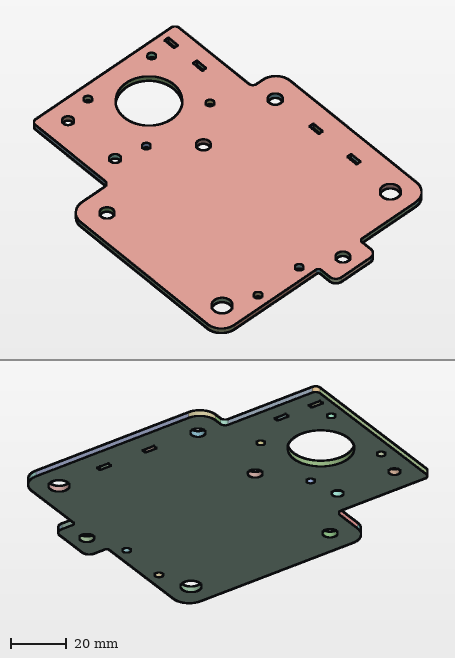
import cadquery as cq

length = 131.0
width = 102.0
thickness = 2.5

panel_left = 41.0
panel_right = 122.1
panel_corner_radius = 7.0

axis_y = 7.0

wing_top = 39.0
wing_bottom = -31.0
wing_corner_radius = 2.0

tab_width = 20.0
tab_corner_radius = 3.0
tab_root_radius = 1.0

motor_x = 21.0
motor_bore_diameter = 24.0
motor_hole_pitch = 31.0
motor_hole_diameter = 3.1

mount_y = 41.0
left_mount_x = 51.0
left_mount_diameter = 5.5
right_mount_x = 112.1
right_mount_diameter = 7.6
axis_hole_xs = (49.9, 124.0)
axis_hole_diameter = 5.4
wing_hole_xs = (8.4, 33.4)
wing_hole_y = -21.0
wing_hole_diameter = 4.3
edge_hole_x = 117.1
edge_hole_ys = (-8.0, -28.0)
edge_hole_diameter = 3.1

slot_length = 5.0
slot_width = 1.8
wing_slot_xs = (5.5, 20.6)
wing_slot_y = 32.0
panel_slot_xs = (71.5, 91.6)
panel_slot_y = 42.0


def block(x_min, x_max, y_min, y_max):
    """Rectangular slab standing on Z = 0."""
    return (
        cq.Workplane("XY")
        .box(x_max - x_min, y_max - y_min, thickness, centered=False)
        .translate((x_min, y_min, 0))
    )


def round_vertical_edges(body, x, ys, radius):
    """Round the vertical edges standing at the given X and Y places."""
    for y in ys:
        nearest = cq.selectors.NearestToPointSelector((x, y, thickness / 2))
        body = body.edges("|Z").edges(nearest).fillet(radius)
    return body


def cut_holes(body, points, diameter):
    """Cut round holes through the plate."""
    tools = cq.Workplane("XY").pushPoints(points).circle(diameter / 2).extrude(thickness)
    return body.cut(tools)


def cut_slots(body, xs, y):
    """Cut a row of rectangular slots through the plate."""
    points = [(x, y) for x in xs]
    tools = cq.Workplane("XY").pushPoints(points).rect(slot_length, slot_width).extrude(thickness)
    return body.cut(tools)


panel_ys = (-width / 2, width / 2)
wing_ys = (wing_bottom, wing_top)
tab_ys = (axis_y - tab_width / 2, axis_y + tab_width / 2)

plate = block(panel_left, panel_right, *panel_ys)
plate = plate.union(block(0, panel_left, *wing_ys))
plate = plate.union(block(panel_right, length, *tab_ys))

plate = round_vertical_edges(plate, panel_left, panel_ys, panel_corner_radius)
plate = round_vertical_edges(plate, panel_right, panel_ys, panel_corner_radius)
plate = round_vertical_edges(plate, 0, wing_ys, wing_corner_radius)
plate = round_vertical_edges(plate, panel_left, wing_ys, wing_corner_radius)
plate = round_vertical_edges(plate, length, tab_ys, tab_corner_radius)
plate = round_vertical_edges(plate, panel_right, tab_ys, tab_root_radius)

half_pitch = motor_hole_pitch / 2
motor_holes = [
    (motor_x + side_x * half_pitch, axis_y + side_y * half_pitch)
    for side_x in (-1, 1)
    for side_y in (-1, 1)
]
plate = cut_holes(plate, [(motor_x, axis_y)], motor_bore_diameter)
plate = cut_holes(plate, motor_holes, motor_hole_diameter)

plate = cut_holes(plate, [(left_mount_x, y) for y in (-mount_y, mount_y)], left_mount_diameter)
plate = cut_holes(plate, [(right_mount_x, y) for y in (-mount_y, mount_y)], right_mount_diameter)
plate = cut_holes(plate, [(x, axis_y) for x in axis_hole_xs], axis_hole_diameter)
plate = cut_holes(plate, [(x, wing_hole_y) for x in wing_hole_xs], wing_hole_diameter)
plate = cut_holes(plate, [(edge_hole_x, y) for y in edge_hole_ys], edge_hole_diameter)

plate = cut_slots(plate, wing_slot_xs, wing_slot_y)
plate = cut_slots(plate, panel_slot_xs, panel_slot_y)

result = plate